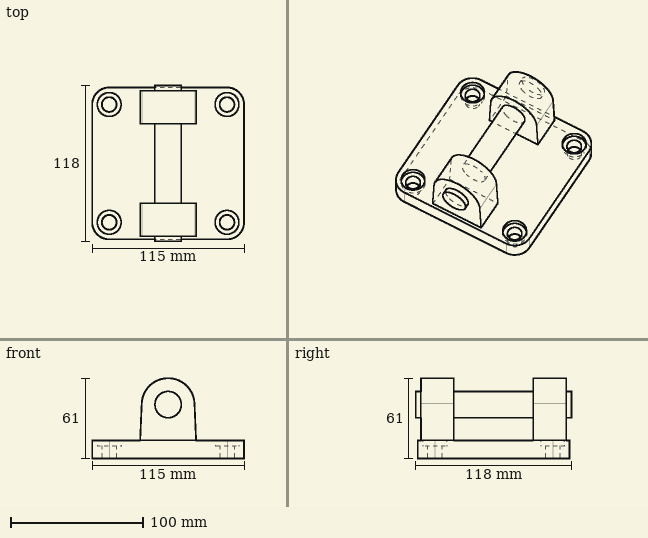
import cadquery as cq
import math

plate_length = 115.0
plate_thickness = 13.9
corner_radius = 13.0

hole_diameter = 11.0
counterbore_diameter = 18.0
counterbore_depth = 4.0
hole_spacing = plate_length - 2 * corner_radius

total_height = 61.0
pin_diameter = 20.0
pin_length = 118.0
lug_radius = 20.1
lug_base_width = 42.5
lug_thickness = 25.0
lug_outer_span = 110.0
pin_height = total_height - lug_radius


def make_plate():
    """Rounded square plate resting on Z = 0, with four counterbored holes."""
    plate = (
        cq.Workplane("XY")
        .rect(plate_length, plate_length)
        .extrude(plate_thickness)
        .edges("|Z")
        .fillet(corner_radius)
    )
    return (
        plate.faces(">Z")
        .workplane()
        .rect(hole_spacing, hole_spacing, forConstruction=True)
        .vertices()
        .cboreHole(hole_diameter, counterbore_diameter, counterbore_depth)
    )


def make_lug(front_y):
    """Round-topped lug with flanks tangent to its top arc, extending +Y from front_y."""
    half_base = lug_base_width / 2
    drop = pin_height - plate_thickness
    tangent_angle = math.acos(lug_radius / math.hypot(half_base, drop)) - math.atan2(drop, half_base)
    tangent_x = lug_radius * math.cos(tangent_angle)
    tangent_z = pin_height + lug_radius * math.sin(tangent_angle)
    return (
        cq.Workplane("XZ", origin=(0, front_y, 0))
        .moveTo(-half_base, plate_thickness)
        .lineTo(half_base, plate_thickness)
        .lineTo(tangent_x, tangent_z)
        .threePointArc((0, total_height), (-tangent_x, tangent_z))
        .close()
        .extrude(-lug_thickness)
    )


def make_pin():
    """Pin along Y, standing slightly proud of both lugs."""
    return (
        cq.Workplane("XZ")
        .center(0, pin_height)
        .circle(pin_diameter / 2)
        .extrude(pin_length / 2, both=True)
    )


result = make_plate()
for lug_front_y in (-lug_outer_span / 2, lug_outer_span / 2 - lug_thickness):
    result = result.union(make_lug(lug_front_y))
result = result.union(make_pin())